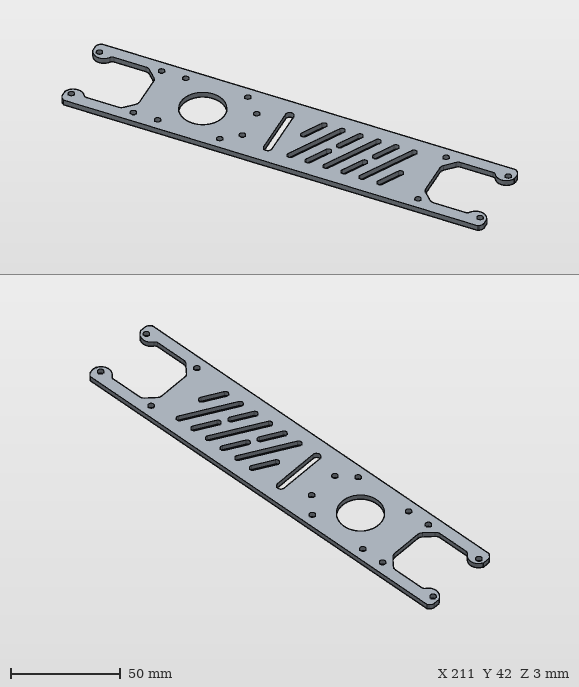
import cadquery as cq
import math

overall_length = 211.0
width = 42.0
thickness = 3.0
ear_overhang = 0.2
body_length = overall_length - ear_overhang

ear_radius = 5.0
ear_x = body_length / 2 + ear_overhang - ear_radius
ear_y = 16.9
neck_radius = 2.0

cutout_floor_x = 71.5
cutout_width = 30.0
cutout_chamfer = 6.0
corner_radius = 3.0

screw_diameter = 3.0
screw_pitch = 31.0
end_hole_x = 102.1
camera_x = -43.5
camera_diameter = 22.0

pair_x = -19.6
pair_pitch = 15.8
pair_y = -1.0

strap_slot_x = -5.5
strap_slot_width = 4.0
slot_height = 28.0

vent_width = 3.0
vent_angle = 60.0
vent_count = 6
vent_first_x = 6.0
vent_row_length = 45.0
vent_pitch = vent_row_length / (vent_count - 1)
vent_end_y = (slot_height - vent_width) / 2
vent_inner_y = 2.7


def block(x_min, x_max, y_size):
    """Full-thickness block centred on Y = 0."""
    return cq.Workplane("XY").box(x_max - x_min, y_size, thickness).translate(((x_min + x_max) / 2, 0, 0))


def discs(points, diameter):
    """Full-thickness cylinders at the given points."""
    return cq.Workplane("XY").pushPoints(points).circle(diameter / 2).extrude(thickness / 2, both=True)


def slot(lower, upper, slot_width):
    """Round-ended slot cutter between two end centres."""
    run = upper[0] - lower[0]
    rise = upper[1] - lower[1]
    return (
        cq.Workplane("XY")
        .center((lower[0] + upper[0]) / 2, (lower[1] + upper[1]) / 2)
        .slot2D(math.hypot(run, rise) + slot_width, slot_width, math.degrees(math.atan2(rise, run)))
        .extrude(thickness / 2, both=True)
    )


def square_pattern(center_x):
    """Four screw positions around a centre on the X axis."""
    half = screw_pitch / 2
    return [(center_x + sx * half, sy * half) for sx in (-1, 1) for sy in (-1, 1)]


def slanted_vent(lower_x, lower_y, upper_y):
    """Vent cutter leaning towards +X from its lower end centre."""
    upper_x = lower_x + (upper_y - lower_y) / math.tan(math.radians(vent_angle))
    return slot((lower_x, lower_y), (upper_x, upper_y), vent_width)


body = block(-body_length / 2, body_length / 2, width)
plate = body.edges("|Z").fillet(corner_radius)
cutout = block(cutout_floor_x, overall_length, cutout_width)
cutout = cutout.faces("<X").edges("|Z").chamfer(cutout_chamfer)
cutout = cutout.edges("|Z").edges("not >X").fillet(corner_radius)
plate = plate.cut(cutout).cut(cutout.mirror("YZ"))

flush_ears = discs([(-ear_x, -ear_y), (-ear_x, ear_y), (ear_x, -ear_y)], 2 * ear_radius)
flush_ears = flush_ears.intersect(body)
overhanging_ear = discs([(ear_x, ear_y)], 2 * ear_radius).intersect(block(0, overall_length, width))
plate = plate.union(flush_ears).union(overhanging_ear)

neck_y = cutout_width / 2
neck_x = ear_x - math.sqrt(ear_radius ** 2 - (ear_y - neck_y) ** 2)
for side_x in (-1, 1):
    for side_y in (-1, 1):
        neck_point = (side_x * neck_x, side_y * neck_y, 0)
        plate = plate.edges(cq.NearestToPointSelector(neck_point)).fillet(neck_radius)

end_pattern_x = end_hole_x - screw_pitch / 2
screw_points = [(pair_x, pair_y + side * pair_pitch / 2) for side in (-1, 1)]
for pattern_x in (-end_pattern_x, camera_x, end_pattern_x):
    screw_points += square_pattern(pattern_x)
plate = plate.cut(discs(screw_points, screw_diameter))
plate = plate.cut(discs([(camera_x, 0)], camera_diameter))

strap_end_y = (slot_height - strap_slot_width) / 2
plate = plate.cut(slot((strap_slot_x, -strap_end_y), (strap_slot_x, strap_end_y), strap_slot_width))

short_run = (vent_end_y - vent_inner_y) / math.tan(math.radians(vent_angle))
long_run = 2 * vent_end_y / math.tan(math.radians(vent_angle))
for index in range(vent_count):
    lower_x = vent_first_x + index * vent_pitch
    if index % 2 == 0:
        plate = plate.cut(slanted_vent(lower_x, -vent_end_y, vent_end_y))
        upper_short_x = lower_x + long_run - vent_pitch - short_run
        plate = plate.cut(slanted_vent(upper_short_x, vent_inner_y, vent_end_y))
    else:
        plate = plate.cut(slanted_vent(lower_x, -vent_end_y, -vent_inner_y))

result = plate